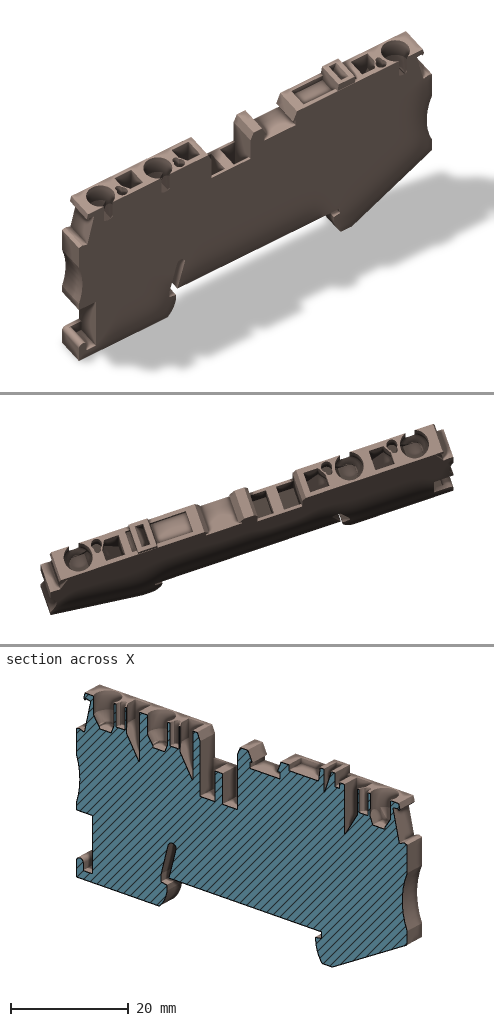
import cadquery as cq
import math

thickness = 5.1
half_length = 36.1
half_thickness = thickness / 2
top_z = 35.3
overall_height = 36.8

rail_z = 5.9
hook_tip_z = 4.55
hook_root_z = 4.8
fixed_hook_root_y = 17.3
fixed_hook_tip_y = 16.0
fixed_hook_bulge = (16.4, 2.1)
fixed_hook_base_y = (17.5, 19.7)
slope_top_z = 9.2
foot_hook_tip_y = -16.25
foot_hook_flank_z = 3.5
foot_hook_bulge = (-16.8, 1.6)
foot_hook_base_y = -18.0

fixed_groove_top_z = 22.7
fixed_groove_bottom_z = 11.8
fixed_groove_depth = 1.1
foot_groove_top_z = 23.1
foot_groove_bottom_z = 14.15
foot_groove_depth = 0.7

label_notch = [
    (34.2, top_z),
    (34.5, 34.2),
    (34.15, 33.8),
    (34.0, 34.2),
    (33.0, 34.0),
    (34.4, 27.9),
    (35.45, 28.2),
    (half_length, 28.0),
]

marker_y = (1.8, 8.2)
marker_floor_z = 32.05
marker_catch_z = 33.2
catch_overhang = 0.54
marker_mouth_y = (1.4, 8.5)
jumper_y = (-9.0, -1.0)
jumper_floor_z = 29.25
jumper_chamfer_z = 33.8
jumper_chamfer = 0.65

slot_left_top = (-14.4, 12.0)
slot_right_top = (-16.0, 12.1)
slot_crown = (-15.15, 12.7)
slot_left_foot_y = -15.95
slot_right_foot = (-17.55, 6.2)

window_y = -32.6
window_z = (3.9, 12.6)
foot_lip_radius = 0.8
lip_round = foot_lip_radius * (1 - math.sqrt(0.5))
pit_wall = 0.7
pit_depth = 2.2

entry_x = 0.25
funnel_radius = 2.45
funnel_depth = 3.6
throat_radius = 1.5
throat_depth = 5.4
shaft_width = 2.8
shaft_floor_depth = 5.8
shaft_inner_reach = 1.2
shaft_outer_reach = 1.6
test_hole_x = 1.4
test_hole_offset = 3.7
test_hole_radius = 0.95
bump_x = 0.4
bump_offset = 3.55
bump_radius = 0.6
test_hole_depth = 4.3
pocket_x = (-1.9, 1.65)
pocket_offset = 4.25
pocket_length = 3.5
pocket_corner = (1.5, 0.9)
pocket_shallow_depth = 3.6
pocket_deep_depth = 9.4
wire_entries = [(30.2, -1), (-18.4, 1), (-30.1, 1)]

socket_width = 4.2
socket_length = 3.1
socket_depth = 5.8

recess_width = 3.75
recess_y = (10.3, 21.2)
recess_depth = 1.1
lug_width = 5.05
lug_back_y = 20.35
lug_front_top_y = 17.05
lug_front_foot_y = 16.7
lug_slot_y = (18.0, 19.5)
lug_slot_depth = 4.3


def extrude_across(outline, x_min, x_max):
    """Extrude a closed YZ outline from x_min to x_max."""
    return outline.extrude(x_max - x_min).translate((x_min, 0, 0))


def polygon_across(points, x_min, x_max):
    return extrude_across(cq.Workplane("YZ").polyline(points).close(), x_min, x_max)


def box_between(x_range, y_range, z_range):
    size = [high - low for low, high in (x_range, y_range, z_range)]
    corner = (x_range[0], y_range[0], z_range[0])
    return cq.Workplane("XY").box(*size, centered=False).translate(corner)


def make_body():
    fixed_groove_mid_z = (fixed_groove_top_z + fixed_groove_bottom_z) / 2
    foot_groove_mid_z = (foot_groove_top_z + foot_groove_bottom_z) / 2
    outline = (
        cq.Workplane("YZ")
        .polyline(label_notch)
        .lineTo(half_length, fixed_groove_top_z)
        .threePointArc((half_length - fixed_groove_depth, fixed_groove_mid_z),
                       (half_length, fixed_groove_bottom_z))
        .lineTo(half_length, slope_top_z)
        .lineTo(fixed_hook_base_y[1], 0)
        .lineTo(fixed_hook_base_y[0], 0)
        .threePointArc(fixed_hook_bulge, (fixed_hook_tip_y, hook_tip_z))
        .lineTo(fixed_hook_root_y, hook_root_z)
        .lineTo(fixed_hook_root_y, rail_z)
        .lineTo(slot_left_foot_y, rail_z)
        .lineTo(*slot_left_top)
        .threePointArc(slot_crown, slot_right_top)
        .lineTo(*slot_right_foot)
        .lineTo(slot_right_foot[0], hook_root_z)
        .lineTo(foot_hook_tip_y, hook_tip_z)
        .lineTo(foot_hook_tip_y, foot_hook_flank_z)
        .threePointArc(foot_hook_bulge, (foot_hook_base_y, 0))
        .lineTo(-half_length, 0)
        .lineTo(-half_length, window_z[0] - foot_lip_radius)
        .threePointArc((-half_length + lip_round, window_z[0] - lip_round),
                       (-half_length + foot_lip_radius, window_z[0]))
        .lineTo(window_y, window_z[0])
        .lineTo(window_y, window_z[1])
        .lineTo(-half_length, window_z[1])
        .lineTo(-half_length, foot_groove_bottom_z)
        .threePointArc((-half_length + foot_groove_depth, foot_groove_mid_z),
                       (-half_length, foot_groove_top_z))
    )
    for y, z in reversed(label_notch):
        outline = outline.lineTo(-y, z)
    outline = outline.close()
    return extrude_across(outline, -half_thickness, half_thickness)


def make_foot_pit():
    lip_top, floor_z = window_z[0], window_z[0] - pit_depth
    lip_inner_y = -half_length + 2 * foot_lip_radius
    outline = (
        cq.Workplane("YZ")
        .moveTo(window_y, lip_top)
        .lineTo(lip_inner_y - foot_lip_radius, lip_top)
        .threePointArc((lip_inner_y - lip_round, lip_top - lip_round),
                       (lip_inner_y, lip_top - foot_lip_radius))
        .lineTo(lip_inner_y, floor_z)
        .lineTo(window_y, floor_z)
        .close()
    )
    return extrude_across(outline, -half_thickness + pit_wall, half_thickness)


def make_marker_channel():
    low, high = marker_y
    points = [
        (low, marker_floor_z),
        (high, marker_floor_z),
        (high, marker_catch_z),
        (high - catch_overhang, marker_catch_z),
        (marker_mouth_y[1], top_z),
        (marker_mouth_y[0], top_z),
        (low + catch_overhang, marker_catch_z),
        (low, marker_catch_z),
    ]
    return polygon_across(points, -half_thickness, half_thickness)


def make_jumper_channel():
    low, high = jumper_y
    points = [
        (low, jumper_floor_z),
        (high, jumper_floor_z),
        (high, jumper_chamfer_z),
        (high + jumper_chamfer, top_z),
        (low - jumper_chamfer, top_z),
        (low, jumper_chamfer_z),
    ]
    return polygon_across(points, -half_thickness, half_thickness)


def make_jumper_sockets():
    x_range = (-socket_width / 2, socket_width / 2)
    z_range = (jumper_floor_z - socket_depth, jumper_floor_z)
    low, high = jumper_y
    first = box_between(x_range, (low, low + socket_length), z_range)
    return first.union(box_between(x_range, (high - socket_length, high), z_range))


def make_funnel():
    """Round mouth, cone and square shaft with one leaning wall; origin on the top face."""
    half_shaft = shaft_width / 2
    funnel = (
        cq.Workplane("XZ")
        .polyline([(0, 0), (funnel_radius, 0), (funnel_radius, -funnel_depth),
                   (throat_radius, -throat_depth), (0, -throat_depth)])
        .close()
        .revolve(360, (0, 0, 0), (0, 1, 0))
    )
    shaft = polygon_across(
        [(-shaft_inner_reach, -funnel_depth), (funnel_radius, -funnel_depth),
         (shaft_outer_reach, -shaft_floor_depth), (-shaft_inner_reach, -shaft_floor_depth)],
        -half_shaft, half_shaft)
    bore = cq.Workplane("XY").circle(funnel_radius).extrude(-shaft_floor_depth)
    core = cq.Workplane("XY").circle(throat_radius).extrude(-shaft_floor_depth)
    leaning_side = box_between((-half_shaft, half_shaft), (0, funnel_radius), (-shaft_floor_depth, 0))
    return funnel.union(shaft.intersect(bore).intersect(core.union(leaning_side)))


def make_test_hole():
    main = cq.Workplane("XY").center(test_hole_x - entry_x, test_hole_offset).circle(test_hole_radius)
    bump = cq.Workplane("XY").center(bump_x - entry_x, bump_offset).circle(bump_radius)
    return main.extrude(-test_hole_depth).union(bump.extrude(-test_hole_depth))


def make_release_pocket():
    """Pocket with one cut corner; its floor falls away from the funnel."""
    left, right = (x - entry_x for x in pocket_x)
    near = pocket_offset
    far = near + pocket_length
    plan = [(left, near), (right - pocket_corner[0], near), (right, near + pocket_corner[1]),
            (right, far), (left, far)]
    prism = cq.Workplane("XY").polyline(plan).close().extrude(-pocket_deep_depth)
    side = [(near, 0), (far, 0), (far, -pocket_deep_depth), (near, -pocket_shallow_depth)]
    return prism.intersect(polygon_across(side, left, right))


def make_wire_entries():
    entry = make_funnel().union(make_test_hole()).union(make_release_pocket())
    mirrored = entry.mirror("XZ")
    cuts = cq.Workplane("XY")
    for y, pocket_side in wire_entries:
        shape = entry if pocket_side > 0 else mirrored
        cuts = cuts.add(shape.translate((entry_x, y, top_z)))
    return cuts.combine()


def make_recess():
    half = recess_width / 2
    return box_between((-half, half), recess_y, (top_z - recess_depth, top_z))


def make_lug():
    half = recess_width / 2
    recess_floor_z = top_z - recess_depth
    lean = (lug_front_top_y - lug_front_foot_y) / (overall_height - recess_floor_z)
    lug_front_y = lug_front_foot_y + lean * recess_depth
    head = polygon_across(
        [(lug_back_y, top_z), (lug_back_y, overall_height),
         (lug_front_top_y, overall_height), (lug_front_y, top_z)],
        -lug_width / 2, lug_width / 2)
    foot = polygon_across(
        [(lug_back_y, recess_floor_z), (lug_back_y, top_z),
         (lug_front_y, top_z), (lug_front_foot_y, recess_floor_z)],
        -half, half)
    slot = polygon_across(
        [(lug_slot_y[0], overall_height), (lug_slot_y[1], overall_height),
         (lug_slot_y[0], overall_height - lug_slot_depth)],
        -half, half)
    return head.union(foot), slot


lug, lug_slot = make_lug()
result = (
    make_body()
    .cut(make_foot_pit())
    .cut(make_marker_channel())
    .cut(make_jumper_channel())
    .cut(make_jumper_sockets())
    .cut(make_wire_entries())
    .cut(make_recess())
    .union(lug)
    .cut(lug_slot)
)